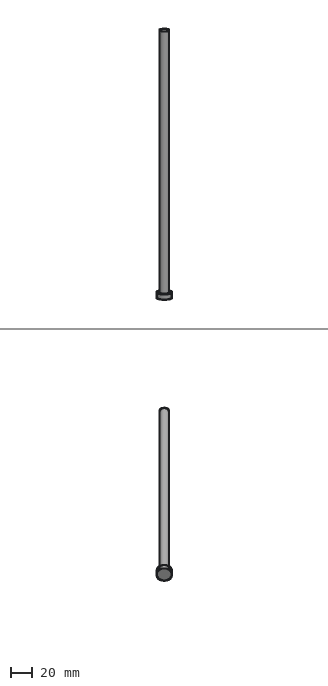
import cadquery as cq

total_length = 255.0
head_diameter = 14.0
head_height = 5.0
shaft_diameter = 9.0

head = cq.Workplane("XY").circle(head_diameter / 2).extrude(head_height)

shaft = cq.Workplane("XY").circle(shaft_diameter / 2).extrude(total_length)

result = head.union(shaft)